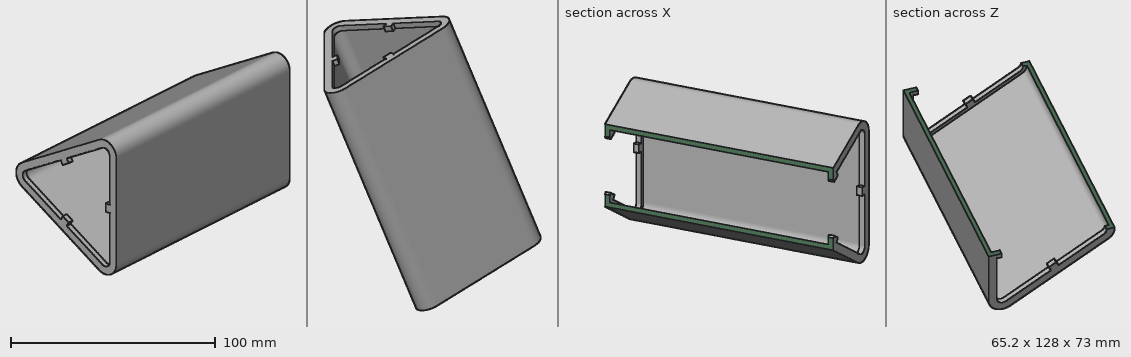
import cadquery as cq
import math

length = 128.0
corner_spacing = 58.2
outer_radius = 7.4
rim_wall = 4.4
tube_wall = 2.4
rim_depth = 3.0
tab_width = 4.5
tab_height = 2.5

centre_to_side = corner_spacing / (2 * math.sqrt(3))
rim_face = centre_to_side + outer_radius - rim_wall


def rounded_triangle_prism(corner_radius, start_y, depth):
    """Triangle pointing to -X, with rounded corners, running along +Y."""
    circumradius = 2 * centre_to_side
    sketch_plane = cq.Workplane("XZ", origin=(0, start_y, 0))
    triangle = sketch_plane.polyline([
        (-circumradius, 0),
        (centre_to_side, -corner_spacing / 2),
        (centre_to_side, corner_spacing / 2),
    ]).close()
    return triangle.offset2D(corner_radius, "arc").extrude(-depth)


def rim_tabs(start_y):
    """One tab at the middle of each side, as deep as the rim."""
    tab_inner_face = rim_face - tab_height
    tab_root = rim_face + rim_wall / 2
    tab = cq.Workplane("XY").box(
        tab_root - tab_inner_face, rim_depth, tab_width, centered=(False, False, True)
    ).translate((tab_inner_face, start_y, 0))
    tabs = tab
    for angle in (120, 240):
        tabs = tabs.union(tab.rotate((0, 0, 0), (0, 1, 0), angle))
    return tabs


body = rounded_triangle_prism(outer_radius, -length / 2, length)
opening = rounded_triangle_prism(outer_radius - rim_wall, -length / 2, length)
cavity = rounded_triangle_prism(
    outer_radius - tube_wall, -length / 2 + rim_depth, length - 2 * rim_depth
)
result = body.cut(opening).cut(cavity)

for rim_start in (-length / 2, length / 2 - rim_depth):
    result = result.union(rim_tabs(rim_start))